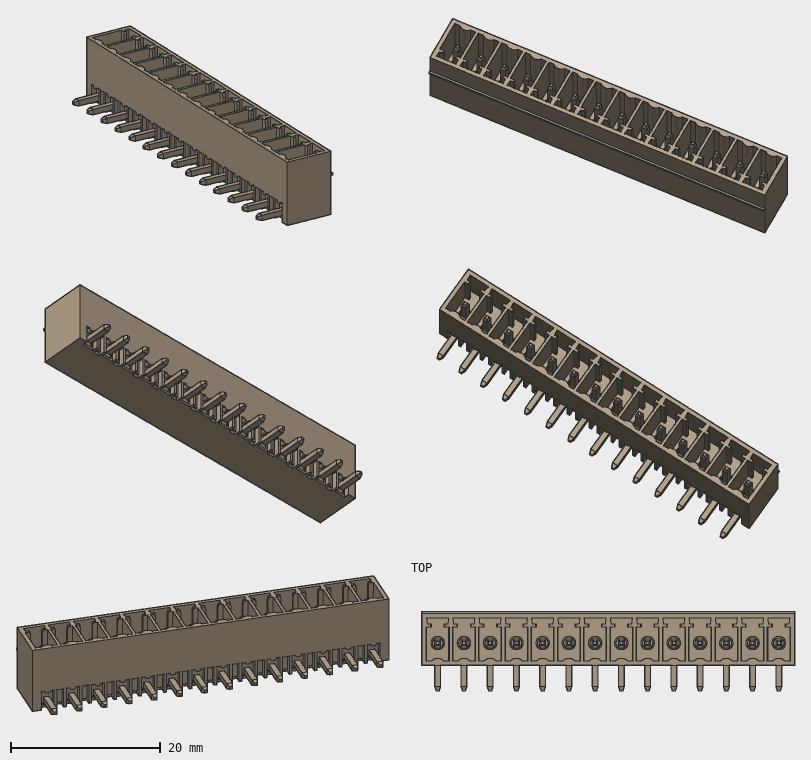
import cadquery as cq

length = 49.8
depth = 6.9
height = 9.2
overall_depth = 10.65
snap_ridge = 0.3
snap_ridge_bottom = 5.7

contacts = 14
end_margin = 2.15
pitch = (length - 2 * end_margin) / (contacts - 1)
contact_places = [-length / 2 + end_margin + i * pitch for i in range(contacts)]
gap_places = [x + pitch / 2 for x in contact_places[:-1]]

cavity_floor = 3.35
cavity_front = 0.6
tab_front = 5.15
tab_back = 5.55
cavity_back = 6.3
cavity_rim_width = 3.1
cavity_floor_width = 2.95
key_back_width = 2.95
key_front_width = 2.75
tab_gap = 1.7
tab_chamfer = 0.1
tab_chamfer_height = 0.4
rib_width = 1.6
rib_reach = 0.35

pin_size = 0.8
pin_tip_size = 0.4
pin_taper = 0.6
pin_y = 3.0
pin_top = height - 1.3
tail_z = 1.15
tail_reach = overall_depth - depth - snap_ridge
collar_base_diameter = 1.8
collar_top_diameter = 1.4
collar_height = 0.2

recess_height = 2.75
recess_depth = 0.75
pin_recess_width = 1.8
gap_recess_width = 0.95
undercut_height = 0.45
undercut_depth = 1.0
lip_width = 0.9
lip_drop = 0.3
foot_bottom_width = 1.35
foot_top_width = 1.05
foot_bottom = 0.375
foot_thickness = 0.2


def box(x, width, y_front, y_back, z_bottom, z_top):
    """Block centred on x."""
    corner = (x - width / 2, y_front, z_bottom)
    block = cq.Workplane("XY").box(width, y_back - y_front, z_top - z_bottom, centered=False)
    return block.translate(corner)


def housing():
    ridge_top = snap_ridge_bottom + snap_ridge
    block = box(0, length, 0, depth, 0, height)
    return block.union(box(0, length, depth, depth + snap_ridge, snap_ridge_bottom, ridge_top))


def cavity(x):
    """Space removed for one contact: drafted main bay, keyway and the gap between the tabs."""
    bay = (
        cq.Workplane("XZ", origin=(x, tab_front, 0))
        .moveTo(-cavity_floor_width / 2, cavity_floor)
        .lineTo(cavity_floor_width / 2, cavity_floor)
        .lineTo(cavity_rim_width / 2, height)
        .lineTo(-cavity_rim_width / 2, height)
        .close()
        .extrude(tab_front - cavity_front)
    )
    keyway = (
        cq.Workplane("XY", origin=(x, 0, cavity_floor))
        .moveTo(-key_front_width / 2, tab_back)
        .lineTo(key_front_width / 2, tab_back)
        .lineTo(key_back_width / 2, cavity_back)
        .lineTo(-key_back_width / 2, cavity_back)
        .close()
        .extrude(height - cavity_floor)
    )
    half_gap = tab_gap / 2
    chamfer_bottom = height - tab_chamfer_height
    between_tabs = (
        cq.Workplane("XZ", origin=(x, tab_back, 0))
        .moveTo(-half_gap, cavity_floor)
        .lineTo(half_gap, cavity_floor)
        .lineTo(half_gap, chamfer_bottom)
        .lineTo(half_gap + tab_chamfer, height)
        .lineTo(-half_gap - tab_chamfer, height)
        .lineTo(-half_gap, chamfer_bottom)
        .close()
        .extrude(tab_back - tab_front)
    )
    front_rib = (
        cq.Workplane("XY", origin=(x, cavity_front, cavity_floor))
        .moveTo(-rib_width / 2, 0)
        .threePointArc((0, rib_reach), (rib_width / 2, 0))
        .close()
        .extrude(height - cavity_floor)
    )
    return bay.union(keyway).union(between_tabs).cut(front_rib)


def pin_recess(x):
    """Space removed around one tail, leaving the rounded lip and the foot wedge."""
    space = box(x, pin_recess_width, 0, recess_depth, 0, recess_height)
    lip = (
        cq.Workplane("XZ", origin=(x, recess_depth, recess_height))
        .moveTo(-lip_width / 2, 0)
        .threePointArc((0, -lip_drop), (lip_width / 2, 0))
        .close()
        .extrude(recess_depth)
    )
    foot_top = tail_z - pin_size / 2
    foot_outline = (
        cq.Workplane("XZ", origin=(x, recess_depth, 0))
        .moveTo(-foot_bottom_width / 2, foot_bottom)
        .lineTo(foot_bottom_width / 2, foot_bottom)
        .lineTo(foot_top_width / 2, foot_top)
        .lineTo(-foot_top_width / 2, foot_top)
        .close()
        .extrude(foot_thickness)
    )
    foot_slope = (
        cq.Workplane("YZ", origin=(x - foot_bottom_width / 2, 0, 0))
        .moveTo(recess_depth, foot_bottom)
        .lineTo(recess_depth, foot_top)
        .lineTo(recess_depth - foot_thickness, foot_top)
        .close()
        .extrude(foot_bottom_width)
    )
    return space.cut(lip).cut(foot_outline.intersect(foot_slope))


def gap_recess(x):
    """Narrow recess between two tails, undercut along its bottom."""
    slot = box(x, gap_recess_width, 0, recess_depth, 0, recess_height)
    undercut = box(x, gap_recess_width, 0, undercut_depth, 0, undercut_height)
    return slot.union(undercut)


def tapered_wire(base, total):
    """Square wire drawn from a base workplane, ending in a pyramid taper."""
    straight = base.rect(pin_size, pin_size).extrude(total - pin_taper)
    tip = (
        base.workplane(offset=total - pin_taper)
        .rect(pin_size, pin_size)
        .workplane(offset=pin_taper)
        .rect(pin_tip_size, pin_tip_size)
        .loft()
    )
    return straight.union(tip)


def pin(x):
    """Bent contact: upright in the cavity, tail leaving through the front, cone collar on the floor."""
    upright = tapered_wire(cq.Workplane("XY", origin=(x, pin_y, tail_z)), pin_top - tail_z)
    tail = tapered_wire(cq.Workplane("XZ", origin=(x, pin_y, tail_z)), pin_y + tail_reach)
    collar = (
        cq.Workplane("XY", origin=(x, pin_y, cavity_floor))
        .circle(collar_base_diameter / 2)
        .workplane(offset=collar_height)
        .circle(collar_top_diameter / 2)
        .loft()
    )
    return upright.union(tail).union(collar)


def row(feature, places):
    """Separate copies of a feature at each place, gathered in one compound."""
    return cq.Workplane(cq.Compound.makeCompound([feature(x).val() for x in places]))


result = (
    housing()
    .cut(row(cavity, contact_places))
    .cut(row(pin_recess, contact_places))
    .cut(row(gap_recess, gap_places))
    .union(row(pin, contact_places))
)